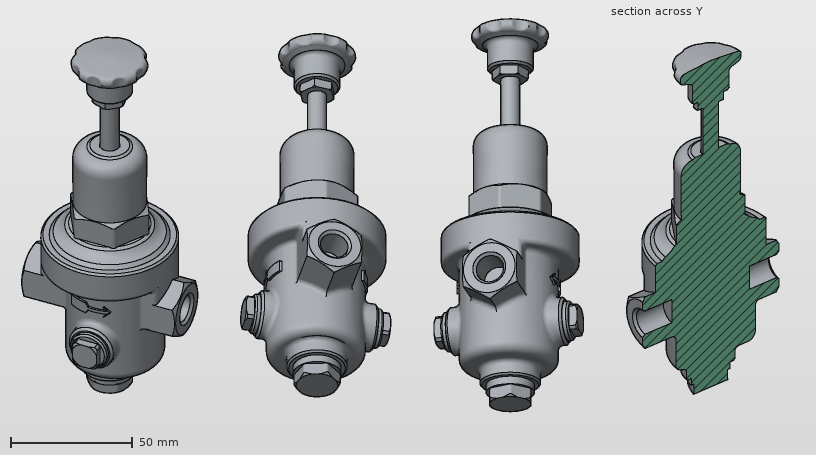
import cadquery as cq
import math


plug_bottom_z = -47.3
plug_collar_z = -42.1
neck_bottom_z = -38.8
body_bottom_z = -32.3
flange_bottom_z = 13.4
flange_top_z = 27.6
hex_seat_z = 33.5
hex_top_z = 44.6
bonnet_shoulder_z = 72.6
bonnet_top_z = 73.3
lock_nut_bottom_z = 96.5
hub_bottom_z = 100.5
knob_rim_bottom_z = 112.5
knob_rim_top_z = 118.2
knob_top_z = 119.4

tolerance = 0.01

flange_diameter = 57
flange_top_chamfer = 0.9
body_diameter = 41
body_offset_x = 2.5
body_bottom_radius = 4
seam_angle = -48
casting_radius = 2

port_span = 70
port_flats = 23
port_bore = 11.6
port_mouth = 14
port_depth = 15
port_face_diameter = 22
port_chamfer_angle = 30

neck_diameter = 25
neck_fillet = 2
neck_chamfer = 0.8
plug_collar_diameter = 20
plug_flats = 17
plug_corner_radius = 1.3
plug_chamfer = 1.2
plug_turn = 15

side_plug_z = -13.8
side_plug_span = 61
side_boss_diameter = 20
side_boss_y = 24.8
side_boss_fillet = 2
side_boss_chamfer = 1.1
side_collar_diameter = 16.5
side_collar_y = 27.1
side_collar_chamfer = 0.8
side_square = 11
side_square_corner_diameter = 14
side_square_chamfer = 0.6
side_square_chamfer_radial = 1.2

arrow_z = 3.65
arrow_tail_x = -9.2
arrow_taper_x = -1.3
arrow_shaft_x = -0.2
arrow_head_x = 7.9
arrow_barb_x = 6.6
arrow_tip_x = 9.4
arrow_half_width = 2.5
arrow_shaft_half_width = 0.7
arrow_relief = 0.9

cap_diameter = 50
cap_slope_radius = 23.4
cap_slope_z = 29.2
cap_flare_radius = 20.6
cap_flare_z = 30.7
cap_top_radius = 18.6
cap_top_z = 32.7
hex_seat_radius = 17
bonnet_diameter = 30.7
bonnet_base_diameter = 30.5
bonnet_corner_radius = 5.9
bonnet_hex_flats = 31
bonnet_hex_corner_radius = 1.8
bonnet_hex_chamfer_angle = 33
bonnet_lip_diameter = 16.5
bonnet_bore = 8.4
bonnet_bore_depth = 10

spindle_diameter = 8
lock_nut_flats = 13
lock_nut_turn = -20
lock_nut_chamfer = 0.5
hub_diameter = 19
hub_chamfer = 0.9
hub_fillet = 2
knob_underside_drop = 0.8
knob_diameter = 32
knob_face_diameter = 27
scallop_count = 9
scallop_radius = 5
scallop_depth = 1.5
scallop_edge_radius = 1


def across_corners(flats):
    return flats / math.cos(math.pi / 6)


def disc(diameter, bottom, top, x=0):
    """Upright cylinder with its seam turned away from the ports and side bosses."""
    cylinder = cq.Workplane("XY", origin=(x, 0, bottom)).circle(diameter / 2).extrude(top - bottom)
    return cylinder.rotate((x, 0, 0), (x, 0, 1), seam_angle)


def hex_prism(flats, bottom, top, turn=0):
    prism = cq.Workplane("XY", origin=(0, 0, bottom)).polygon(6, across_corners(flats)).extrude(top - bottom)
    return prism.rotate((0, 0, 0), (0, 0, 1), turn)


def port_web():
    """Port hexagon profile with its sides carried straight up into the flange."""
    half_flats = port_flats / 2
    corner_radius = across_corners(port_flats) / 2
    profile = (
        cq.Workplane("YZ", origin=(-port_span / 2, 0, 0))
        .moveTo(-half_flats, flange_top_z)
        .lineTo(half_flats, flange_top_z)
        .lineTo(half_flats, -corner_radius / 2)
        .lineTo(0, -corner_radius)
        .lineTo(-half_flats, -corner_radius / 2)
        .close()
    )
    return profile.extrude(port_span).intersect(disc(flange_diameter, -corner_radius, flange_top_z))


def is_rim_edge(edge):
    """Lower outer edge of the flange, or an upright outer edge of a port web."""
    middle = edge.positionAt(0.5)
    on_rim = abs(math.hypot(middle.x, middle.y) - flange_diameter / 2) < tolerance
    return on_rim and 0 < middle.z < flange_bottom_z + tolerance


def is_inner_edge(edge):
    """Inner corner between flange and web, flange and barrel, or web and barrel."""
    middle = edge.positionAt(0.5)
    ends_on_barrel = [
        abs(math.hypot(end.x - body_offset_x, end.y) - body_diameter / 2) < tolerance
        for end in (edge.startPoint(), edge.endPoint())
    ]
    if abs(middle.z - flange_bottom_z) < tolerance:
        return any(ends_on_barrel)
    beside_web = abs(middle.y) < port_flats / 2 + tolerance
    return all(ends_on_barrel) and beside_web and middle.z > body_bottom_z + tolerance


def casting():
    """Flange, webs and offset barrel with all casting radii."""
    flange = disc(flange_diameter, flange_bottom_z, flange_top_z)
    barrel = disc(body_diameter, body_bottom_z, flange_top_z, body_offset_x)
    body = flange.union(port_web()).union(barrel)
    body = body.edges().filter(is_rim_edge).fillet(casting_radius)
    body = body.edges().filter(is_inner_edge).fillet(casting_radius)
    body = body.faces("<Z").edges().fillet(body_bottom_radius)
    return body.faces(">Z").edges().chamfer(flange_top_chamfer)


def side_cylinder(diameter, start_y, end_y):
    """Cylinder along +Y on the side plug axis."""
    plane = cq.Plane(origin=(body_offset_x, start_y, side_plug_z), xDir=(1, 0, 0), normal=(0, 1, 0))
    return cq.Workplane(plane).circle(diameter / 2).extrude(end_y - start_y)


def add_side_bosses(body):
    """Bosses on both sides of the barrel, blended into it at the foot."""
    boss = side_cylinder(side_boss_diameter, body_diameter / 4, side_boss_y)
    boss = boss.faces(">Y").chamfer(side_boss_chamfer)
    body = body.union(boss).union(boss.mirror("XZ"))
    reach = side_boss_diameter / 2
    feet = cq.selectors.BoxSelector(
        (body_offset_x - reach, -body_diameter / 2, side_plug_z - reach),
        (body_offset_x + reach, body_diameter / 2, side_plug_z + reach),
    )
    return body.edges(feet).fillet(side_boss_fillet)


def side_plug():
    """Round collar and square wrench head screwed into the side boss."""
    collar = side_cylinder(side_collar_diameter, body_diameter / 4, side_collar_y)
    collar = collar.faces(">Y").chamfer(side_collar_chamfer)
    head_end_y = side_plug_span / 2
    rounding = side_cylinder(side_square_corner_diameter, side_collar_y, head_end_y)
    rounding = rounding.faces(">Y").chamfer(side_square_chamfer, side_square_chamfer_radial)
    head = (
        cq.Workplane("XY", origin=(body_offset_x, side_collar_y, side_plug_z))
        .box(side_square, head_end_y - side_collar_y, side_square, centered=(True, False, True))
        .intersect(rounding)
    )
    return collar.union(head)


def flow_arrow():
    """Arrow standing proud of the +Y side of the barrel, pointing along +X."""
    upper_edge = [
        (arrow_tail_x, arrow_half_width),
        (arrow_taper_x, arrow_half_width),
        (arrow_shaft_x, arrow_shaft_half_width),
        (arrow_head_x, arrow_shaft_half_width),
        (arrow_barb_x, arrow_half_width),
        (arrow_tip_x, 0),
    ]
    lower_edge = [(x, -z) for x, z in reversed(upper_edge[:-1])]
    plane = cq.Plane(origin=(0, 0, arrow_z), xDir=(1, 0, 0), normal=(0, -1, 0))
    prism = cq.Workplane(plane).polyline(upper_edge + lower_edge).close().extrude(-body_diameter)
    outer = disc(body_diameter + 2 * arrow_relief, body_bottom_z, flange_bottom_z, body_offset_x)
    core = disc(body_diameter - 2 * arrow_relief, body_bottom_z, flange_bottom_z, body_offset_x)
    return prism.intersect(outer.cut(core))


def port_arms():
    """Hexagonal arms with chamfered ends."""
    hexagon = cq.Workplane("YZ", origin=(-port_span / 2, 0, 0)).polygon(6, across_corners(port_flats))
    arms = hexagon.extrude(port_span).rotate((0, 0, 0), (1, 0, 0), 90)
    chamfer_width = (across_corners(port_flats) - port_face_diameter) / 2
    chamfer_length = chamfer_width * math.tan(math.radians(port_chamfer_angle))
    envelope = cq.Workplane("YZ", origin=(-port_span / 2, 0, 0)).circle(across_corners(port_flats) / 2)
    envelope = envelope.extrude(port_span).edges("%CIRCLE").chamfer(chamfer_length, chamfer_width)
    return arms.intersect(envelope)


def port_bores():
    """Blind bores with a countersunk mouth, entering from both arm ends."""
    mouth_depth = (port_mouth - port_bore) / 2
    end_x = port_span / 2
    bore = (
        cq.Workplane("XZ")
        .moveTo(-end_x, 0)
        .lineTo(-end_x, port_mouth / 2)
        .lineTo(mouth_depth - end_x, port_bore / 2)
        .lineTo(port_depth - end_x, port_bore / 2)
        .lineTo(port_depth - end_x, 0)
        .close()
        .revolve(360, (0, 0, 0), (1, 0, 0))
    )
    return bore.union(bore.mirror("YZ"))


def bottom_neck():
    """Neck under the barrel, with its blend, and the collar of the bottom plug."""
    neck_radius = neck_diameter / 2
    collar_radius = plug_collar_diameter / 2
    blend_mid = neck_fillet * (1 - math.sqrt(0.5))
    return (
        cq.Workplane("XZ")
        .moveTo(0, body_bottom_z + body_bottom_radius)
        .lineTo(neck_radius + neck_fillet, body_bottom_z + body_bottom_radius)
        .lineTo(neck_radius + neck_fillet, body_bottom_z)
        .threePointArc(
            (neck_radius + blend_mid, body_bottom_z - blend_mid),
            (neck_radius, body_bottom_z - neck_fillet),
        )
        .lineTo(neck_radius, neck_bottom_z + neck_chamfer)
        .lineTo(neck_radius - neck_chamfer, neck_bottom_z)
        .lineTo(collar_radius, neck_bottom_z)
        .lineTo(collar_radius, plug_collar_z)
        .lineTo(0, plug_collar_z)
        .close()
        .revolve()
    )


def bottom_plug():
    """Hexagonal head of the bottom plug, chamfered at its free end."""
    head = hex_prism(plug_flats, plug_bottom_z, plug_collar_z, plug_turn)
    head = head.edges("|Z").fillet(plug_corner_radius)
    envelope = disc(across_corners(plug_flats), plug_bottom_z, plug_collar_z)
    envelope = envelope.faces("<Z").chamfer(plug_chamfer)
    return head.intersect(envelope)


def bonnet_hex():
    """Wrench hexagon of the bonnet with a conical top."""
    prism = hex_prism(bonnet_hex_flats, cap_top_z, hex_top_z)
    prism = prism.edges("|Z").fillet(bonnet_hex_corner_radius)
    cone_width = (across_corners(bonnet_hex_flats) - bonnet_base_diameter) / 2
    cone_drop = cone_width * math.tan(math.radians(bonnet_hex_chamfer_angle))
    envelope = disc(across_corners(bonnet_hex_flats), cap_top_z, hex_top_z)
    envelope = envelope.faces(">Z").chamfer(cone_drop, cone_width)
    return prism.intersect(envelope)


def bonnet():
    """Flared cap, wrench hexagon and domed spring housing with the spindle bore."""
    radius = bonnet_diameter / 2
    base_radius = bonnet_base_diameter / 2
    dome_radius = radius - bonnet_corner_radius
    dome_mid = bonnet_corner_radius * math.sqrt(0.5)
    dome_centre_z = bonnet_shoulder_z - bonnet_corner_radius
    turned = (
        cq.Workplane("XZ")
        .moveTo(0, flange_top_z)
        .lineTo(cap_diameter / 2, flange_top_z)
        .lineTo(cap_slope_radius, cap_slope_z)
        .threePointArc((cap_flare_radius, cap_flare_z), (cap_top_radius, cap_top_z))
        .lineTo(hex_seat_radius, hex_seat_z)
        .lineTo(base_radius, hex_seat_z)
        .lineTo(base_radius, hex_top_z)
        .lineTo(radius, dome_centre_z)
        .threePointArc(
            (dome_radius + dome_mid, dome_centre_z + dome_mid),
            (dome_radius, bonnet_shoulder_z),
        )
        .lineTo(bonnet_lip_diameter / 2, bonnet_top_z)
        .lineTo(0, bonnet_top_z)
        .close()
        .revolve()
    )
    bore = disc(bonnet_bore, bonnet_top_z - bonnet_bore_depth, bonnet_top_z)
    return turned.union(bonnet_hex()).cut(bore)


def lock_nut():
    nut = hex_prism(lock_nut_flats, lock_nut_bottom_z, hub_bottom_z, lock_nut_turn)
    envelope = disc(across_corners(lock_nut_flats), lock_nut_bottom_z, hub_bottom_z)
    return nut.intersect(envelope.faces("<Z").chamfer(lock_nut_chamfer))


def knob():
    """Hand knob with a shallow conical face, rounded rim and finger scallops."""
    rim_radius = knob_diameter / 2
    face_radius = knob_face_diameter / 2
    hub_radius = hub_diameter / 2
    rim_mid_z = (knob_rim_bottom_z + knob_rim_top_z) / 2
    blend_mid = hub_fillet * (1 - math.sqrt(0.5))
    blend_top_z = knob_rim_bottom_z - knob_underside_drop
    body = (
        cq.Workplane("XZ")
        .moveTo(0, hub_bottom_z)
        .lineTo(hub_radius - hub_chamfer, hub_bottom_z)
        .lineTo(hub_radius, hub_bottom_z + hub_chamfer)
        .lineTo(hub_radius, blend_top_z - hub_fillet)
        .threePointArc(
            (hub_radius + blend_mid, blend_top_z - blend_mid),
            (hub_radius + hub_fillet, blend_top_z),
        )
        .lineTo(face_radius, knob_rim_bottom_z)
        .threePointArc((rim_radius, rim_mid_z), (face_radius, knob_rim_top_z))
        .lineTo(0, knob_top_z)
        .close()
        .revolve()
    )
    scallop_centre = rim_radius - scallop_depth + scallop_radius
    scallops = (
        cq.Workplane("XY", origin=(0, 0, blend_top_z))
        .polarArray(scallop_centre, -90, 360, scallop_count)
        .circle(scallop_radius)
        .extrude(knob_top_z - blend_top_z)
    )
    body = body.cut(scallops)

    scallop_edges = cq.selectors.BoxSelector(
        (-rim_radius, -rim_radius, rim_mid_z - scallop_edge_radius),
        (rim_radius, rim_radius, rim_mid_z + scallop_edge_radius),
    )
    return body.edges(scallop_edges).fillet(scallop_edge_radius)


def regulator():
    spindle = disc(spindle_diameter, bonnet_top_z - bonnet_bore_depth, hub_bottom_z)
    side_fittings = side_plug().union(flow_arrow())
    body = add_side_bosses(casting()).union(port_arms()).cut(port_bores())
    body = body.union(side_fittings).union(side_fittings.mirror("XZ"))
    for piece in (bottom_neck(), bottom_plug(), bonnet(), spindle, lock_nut(), knob()):
        body = body.union(piece)
    return body


result = regulator()